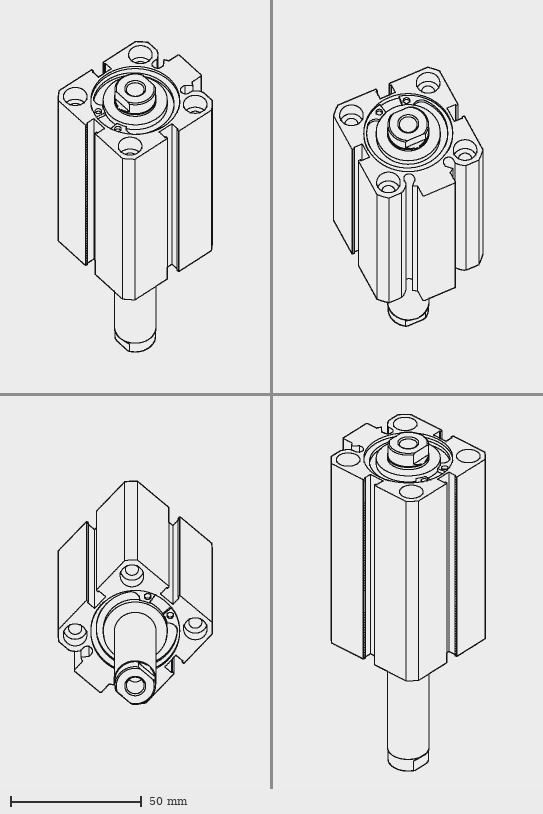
import cadquery as cq
import math


body_width = 45.0
body_length = 83.0
half_width = body_width / 2
corner_turn_radius = 29.5
bolt_offset = 32.5 / 2
bolt_hole_dia = 5.0
counterbore_dia = 9.0
counterbore_depth = 7.0

slot_floor = 18.0
slot_width = 6.4
slot_mouth = 5.4
slot_lip = 1.0
slot_mouth_chamfer = 0.2

rail_top = 27.5
rail_half_width = 6.9
rail_edge_radius = 0.5
barb_base_y = 22.6
barb_tip = (8.6, 21.55)
groove_radius = 2.0
groove_center = (8.4, 18.1)
lug_radius = 6.75

rod_dia = 16.0
rod_reach_top = 7.0
rod_reach_bottom = 57.0
tip_dia = 15.5
tip_length = 6.0
tip_chamfer = 0.5
shoulder_angle = 45.0
shoulder_height = (rod_dia - tip_dia) / 2 / math.tan(math.radians(shoulder_angle))
flat_across = 13.0
flat_length = 4.8
thread_dia = 6.8
thread_depth = 13.0
thread_chamfer = 0.6
drill_point_angle = 118.0

recess_dia = 34.0
hub_dia = 24.5
ring_setback = 1.3
ring_thickness = 1.5
collar_flange = 4.0
ring_inner_radius = 15.5
ring_inner_shift = -0.9
ear_inner_radius = 12.5
ear_gap_inner = 3.5
ear_gap_outer = 4.1
ear_fillet_mid = (9.2, -11.6)
ear_fillet_start_x = 7.0
ear_fillet_end_x = 12.3
ear_hole_dia = 2.5
ear_hole_center = (5.8, -13.55)

recess_depth = ring_setback + ring_thickness + collar_flange


def on_circle(x, radius, side=1, center_y=0.0):
    """Point at x on a circle centred on the Y axis, on its +Y or -Y side."""
    return (x, center_y + side * math.sqrt(radius**2 - x**2))


def mirrored(point):
    """The point reflected across the Y axis."""
    return (-point[0], point[1])


def at_both_ends(end_solid):
    """The solid for the top end and its mirror copy for the bottom end."""
    copy = end_solid.mirror("XY", (0, 0, body_length / 2))
    return [end_solid, copy]


def body_blank():
    block = cq.Workplane("XY").rect(body_width, body_width).extrude(body_length)
    turned = cq.Workplane("XY").circle(corner_turn_radius).extrude(body_length)
    return block.intersect(turned)


def rail_clearance():
    """Space beside the rail on the +X side, from the barb to the bolt lug."""
    groove_x, groove_y = groove_center
    inner_x = groove_x - groove_radius
    outer_x = groove_x + groove_radius
    tip_x, tip_y = barb_tip
    lug_end = (outer_x, bolt_offset + math.sqrt(lug_radius**2 - (bolt_offset - outer_x) ** 2))
    lug_start = (bolt_offset - math.sqrt(lug_radius**2 - (half_width - bolt_offset) ** 2), half_width)
    start_angle = math.atan2(lug_start[1] - bolt_offset, lug_start[0] - bolt_offset)
    end_angle = math.atan2(lug_end[1] - bolt_offset, lug_end[0] - bolt_offset)
    mid_angle = (start_angle + end_angle) / 2
    lug_mid = (bolt_offset + lug_radius * math.cos(mid_angle), bolt_offset + lug_radius * math.sin(mid_angle))
    return (
        cq.Workplane("XY")
        .moveTo(rail_half_width, rail_top)
        .lineTo(rail_half_width, barb_base_y)
        .lineTo(tip_x, tip_y)
        .lineTo(inner_x, tip_y - (tip_x - inner_x))
        .lineTo(inner_x, groove_y)
        .threePointArc((groove_x, groove_y - groove_radius), (outer_x, groove_y))
        .lineTo(*lug_end)
        .threePointArc(lug_mid, lug_start)
        .lineTo(lug_start[0], rail_top)
        .close()
        .extrude(body_length)
    )


def rail_blank():
    """Rail block, wide enough to hold the barbs."""
    base_y = half_width - groove_radius
    top = (
        cq.Workplane("XY")
        .rect(2 * rail_half_width, 2 * rail_top)
        .extrude(body_length)
        .edges("|Z and >Y")
        .fillet(rail_edge_radius)
    )
    barbs = (
        cq.Workplane("XY")
        .center(0, (base_y + barb_base_y) / 2)
        .rect(2 * barb_tip[0], barb_base_y - base_y)
        .extrude(body_length)
    )
    keep = cq.Workplane("XY").center(0, rail_top / 2).rect(body_width, rail_top).extrude(body_length)
    return top.union(barbs).intersect(keep)


def sensor_slot(angle):
    """Lipped slot with a chamfered mouth along the housing; angle 0 is the +X side."""
    depth = half_width - slot_floor
    cavity = (
        cq.Workplane("XY")
        .center(slot_floor + (depth - slot_lip) / 2, 0)
        .rect(depth - slot_lip, slot_width)
        .extrude(body_length)
    )
    mouth = (
        cq.Workplane("XY")
        .center(slot_floor + depth / 2, 0)
        .rect(depth, slot_mouth)
        .extrude(body_length)
    )
    half_mouth = slot_mouth / 2
    flare_start = half_width - slot_mouth_chamfer
    flare_half = half_mouth + slot_mouth_chamfer
    flare = (
        cq.Workplane("XY")
        .moveTo(flare_start, -half_mouth)
        .lineTo(half_width, -flare_half)
        .lineTo(half_width, flare_half)
        .lineTo(flare_start, half_mouth)
        .close()
        .extrude(body_length)
    )
    return cavity.union(mouth).union(flare).rotate((0, 0, 0), (0, 0, 1), angle)


def make_housing():
    housing = body_blank().union(rail_blank())
    clearance = rail_clearance()
    housing = housing.cut(clearance).cut(clearance.mirror("YZ"))
    for angle in (0, 180, 270):
        housing = housing.cut(sensor_slot(angle))

    bolt_points = [(sx * bolt_offset, sy * bolt_offset) for sx in (-1, 1) for sy in (-1, 1)]
    bolt_holes = cq.Workplane("XY").pushPoints(bolt_points).circle(bolt_hole_dia / 2).extrude(body_length)
    counterbores = (
        cq.Workplane("XY", origin=(0, 0, body_length - counterbore_depth))
        .pushPoints(bolt_points)
        .circle(counterbore_dia / 2)
        .extrude(counterbore_depth)
    )
    recess = (
        cq.Workplane("XY", origin=(0, 0, body_length - recess_depth))
        .circle(recess_dia / 2)
        .extrude(recess_depth)
    )
    rod_bore = cq.Workplane("XY").circle(rod_dia / 2).extrude(body_length)
    housing = housing.cut(bolt_holes).cut(rod_bore)
    for cutter in at_both_ends(counterbores) + at_both_ends(recess):
        housing = housing.cut(cutter)
    return housing


def rod_tip():
    """Rod tip on Z = 0 pointing up: wrench flats with sloped run-outs above a conical shoulder."""
    tip = (
        cq.Workplane("XY")
        .circle(tip_dia / 2)
        .extrude(tip_length)
        .faces(">Z")
        .chamfer(tip_chamfer)
    )
    shoulder = cq.Workplane("XY").circle(rod_dia / 2).extrude(shoulder_height, taper=shoulder_angle)
    flat = flat_across / 2
    run_out = tip_length - flat_length
    flat_cut = (
        cq.Workplane("YZ")
        .moveTo(flat, tip_length)
        .lineTo(flat, run_out)
        .lineTo(rod_dia / 2, 0)
        .lineTo(rod_dia / 2, tip_length)
        .close()
        .extrude(rod_dia / 2, both=True)
    )
    return tip.union(shoulder).cut(flat_cut).cut(flat_cut.mirror("XZ"))


def threaded_hole():
    """Drilled hole with a cone point and a chamfered mouth, its mouth on Z = 0, going down."""
    radius = thread_dia / 2
    point_length = radius / math.tan(math.radians(drill_point_angle / 2))
    return (
        cq.Workplane("XZ")
        .lineTo(radius + thread_chamfer, 0)
        .lineTo(radius, -thread_chamfer)
        .lineTo(radius, -thread_depth)
        .lineTo(0, -thread_depth - point_length)
        .close()
        .revolve(360, (0, 0, 0), (0, 1, 0))
    )


def make_rod():
    top = body_length + rod_reach_top
    bottom = -rod_reach_bottom
    shaft_length = top - bottom - 2 * tip_length
    rod = cq.Workplane("XY", origin=(0, 0, bottom + tip_length)).circle(rod_dia / 2).extrude(shaft_length)
    tip = rod_tip()
    hole = threaded_hole()
    rod = rod.union(tip.translate((0, 0, top - tip_length)))
    rod = rod.union(tip.mirror("XY").translate((0, 0, bottom + tip_length)))
    rod = rod.cut(hole.translate((0, 0, top)))
    return rod.cut(hole.mirror("XY").translate((0, 0, bottom)))


def make_collar():
    """Flanged bushing at the top end, its hub flush with the housing face."""
    collar = (
        cq.Workplane("XY", origin=(0, 0, body_length - recess_depth))
        .circle(recess_dia / 2)
        .extrude(collar_flange)
    )
    hub = (
        cq.Workplane("XY", origin=(0, 0, body_length - recess_depth))
        .circle(hub_dia / 2)
        .extrude(recess_depth)
    )
    bore = (
        cq.Workplane("XY", origin=(0, 0, body_length - recess_depth))
        .circle(rod_dia / 2)
        .extrude(recess_depth)
    )
    return collar.union(hub).cut(bore)


def make_snap_ring():
    """Snap ring at the top end, open towards -Y, with a pliers hole in each ear."""
    outer_radius = recess_dia / 2
    gap_outer = on_circle(ear_gap_outer, outer_radius, -1)
    gap_inner = on_circle(ear_gap_inner, ear_inner_radius, -1)
    fillet_start = on_circle(ear_fillet_start_x, ear_inner_radius, -1)
    fillet_end = on_circle(ear_fillet_end_x, ring_inner_radius, -1, ring_inner_shift)
    ear_mid = on_circle((ear_gap_inner + ear_fillet_start_x) / 2, ear_inner_radius, -1)
    ring_bottom = body_length - ring_setback - ring_thickness
    return (
        cq.Workplane("XY", origin=(0, 0, ring_bottom))
        .moveTo(*gap_outer)
        .threePointArc((0, outer_radius), mirrored(gap_outer))
        .lineTo(*mirrored(gap_inner))
        .threePointArc(mirrored(ear_mid), mirrored(fillet_start))
        .threePointArc(mirrored(ear_fillet_mid), mirrored(fillet_end))
        .threePointArc((0, ring_inner_radius + ring_inner_shift), fillet_end)
        .threePointArc(ear_fillet_mid, fillet_start)
        .threePointArc(ear_mid, gap_inner)
        .close()
        .extrude(ring_thickness)
        .cut(
            cq.Workplane("XY", origin=(0, 0, ring_bottom))
            .pushPoints([ear_hole_center, mirrored(ear_hole_center)])
            .circle(ear_hole_dia / 2)
            .extrude(ring_thickness)
        )
    )


housing = make_housing()
rod = make_rod()
collars = at_both_ends(make_collar())
snap_rings = at_both_ends(make_snap_ring())

result = cq.Compound.makeCompound(
    [
        housing.val(),
        rod.val(),
        *[collar.val() for collar in collars],
        *[snap_ring.val() for snap_ring in snap_rings],
    ]
)